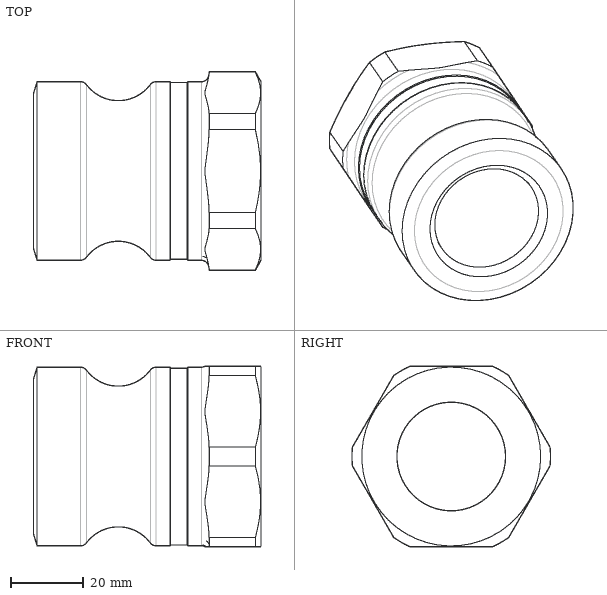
import cadquery as cq
import math

length = 63.0
body_radius = 49.5 / 2
bore_radius = 30.0 / 2

nose_radius = 21.5
nose_chamfer_length = 1.0
bore_mouth_radius = 17.0
bore_mouth_depth = 2.0

groove_centre_x = 23.5
groove_floor_radius = 19.5
groove_arc_radius = 11.0
groove_blend_radius = 2.0

band_start_x = 37.75
band_end_x = 42.75
band_radius = 49.0 / 2
band_depth = body_radius - band_radius

hex_flats = 50.0
hex_turn_degrees = 30
hex_corner_radius = 55.0 / 2
neck_fillet_start_x = 46.5
neck_fillet_radius = 2.0
neck_cone_angle = math.radians(10)
hex_end_radius = body_radius
hex_chamfer_angle = math.radians(30)


def arc_midpoint(centre, radius, start, end):
    """Point halfway along the shorter arc from start to end."""
    dx = (start[0] + end[0]) / 2 - centre[0]
    dy = (start[1] + end[1]) / 2 - centre[1]
    reach = radius / math.hypot(dx, dy)
    return (centre[0] + dx * reach, centre[1] + dy * reach)


def add_groove(profile):
    """Continue the outline across the groove, from body surface to body surface."""
    groove_axis_r = groove_floor_radius + groove_arc_radius
    blend_axis_r = body_radius - groove_blend_radius
    centre_distance = groove_arc_radius + groove_blend_radius
    rise = groove_axis_r - blend_axis_r
    half_width = math.sqrt(centre_distance**2 - rise**2)
    blend_share = groove_blend_radius / centre_distance
    touch_offset = half_width * (1 - blend_share)
    touch_r = blend_axis_r + rise * blend_share

    start = (groove_centre_x - half_width, body_radius)
    first_touch = (groove_centre_x - touch_offset, touch_r)
    second_touch = (groove_centre_x + touch_offset, touch_r)
    end = (groove_centre_x + half_width, body_radius)
    first_blend_centre = (start[0], blend_axis_r)
    second_blend_centre = (end[0], blend_axis_r)
    return (
        profile.lineTo(*start)
        .threePointArc(arc_midpoint(first_blend_centre, groove_blend_radius, start, first_touch), first_touch)
        .threePointArc((groove_centre_x, groove_floor_radius), second_touch)
        .threePointArc(arc_midpoint(second_blend_centre, groove_blend_radius, second_touch, end), end)
    )


def make_turned_blank():
    """Revolved body with groove, band, neck fillet, hexagon chamfers and bore."""
    fillet_start = (neck_fillet_start_x, body_radius)
    fillet_centre = (neck_fillet_start_x, body_radius + neck_fillet_radius)
    fillet_end = (
        fillet_centre[0] + neck_fillet_radius * math.cos(neck_cone_angle),
        fillet_centre[1] - neck_fillet_radius * math.sin(neck_cone_angle),
    )
    hex_start_x = fillet_end[0] + (hex_corner_radius - fillet_end[1]) * math.tan(neck_cone_angle)
    hex_end_x = length - (hex_corner_radius - hex_end_radius) * math.tan(hex_chamfer_angle)

    profile = (
        cq.Workplane("XY")
        .moveTo(bore_mouth_depth, bore_radius)
        .lineTo(0, bore_mouth_radius)
        .lineTo(0, nose_radius)
        .lineTo(nose_chamfer_length, body_radius)
    )
    profile = (
        add_groove(profile)
        .lineTo(band_start_x, body_radius)
        .lineTo(band_start_x + band_depth, band_radius)
        .lineTo(band_end_x - band_depth, band_radius)
        .lineTo(band_end_x, body_radius)
        .lineTo(*fillet_start)
        .threePointArc(arc_midpoint(fillet_centre, neck_fillet_radius, fillet_start, fillet_end), fillet_end)
        .lineTo(hex_start_x, hex_corner_radius)
        .lineTo(hex_end_x, hex_corner_radius)
        .lineTo(length, hex_end_radius)
        .lineTo(length, bore_radius)
        .close()
    )
    return profile.revolve(360, (0, 0, 0), (1, 0, 0))


def make_hex_envelope():
    """Hexagonal bar along X with corners on the Y axis and flats facing +Z and -Z."""
    hexagon = cq.Workplane("YZ").polygon(6, hex_flats, circumscribed=True).extrude(length)
    return hexagon.rotate((0, 0, 0), (1, 0, 0), hex_turn_degrees)


result = make_turned_blank().intersect(make_hex_envelope())